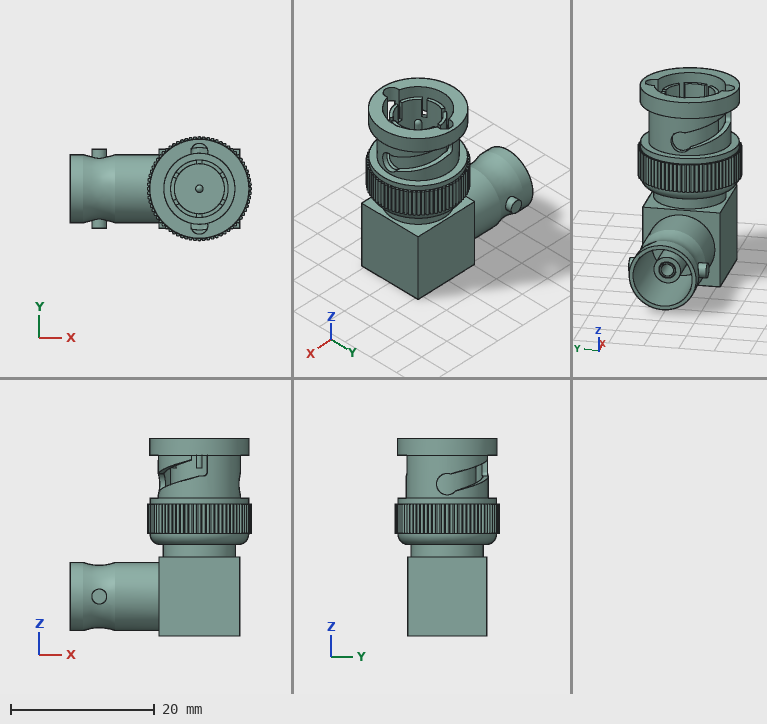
import math

import cadquery as cq

OVERLAP = 0.2

BLOCK_X = 11.25
BLOCK_Y = 11.0
BLOCK_Z = 11.0

NECK_LENGTH = 1.7
COLLAR_BELOW_KNURL = 1.57
KNURL_LENGTH = 4.06
COLLAR_ABOVE_KNURL = 0.83
FLANGE_THICKNESS = 2.35
NECK_BASE_Z = BLOCK_Z / 2
COLLAR_BASE_Z = NECK_BASE_Z + NECK_LENGTH
KNURL_BASE_Z = COLLAR_BASE_Z + COLLAR_BELOW_KNURL
KNURL_TOP_Z = KNURL_BASE_Z + KNURL_LENGTH
COLLAR_TOP_Z = KNURL_TOP_Z + COLLAR_ABOVE_KNURL
PLUG_TOP_Z = 21.98
FLANGE_BASE_Z = PLUG_TOP_Z - FLANGE_THICKNESS

NECK_R = 5.04
COLLAR_R = 6.87
COLLAR_FILLET = 1.5
BARREL_R = 5.72
FLANGE_R = 6.92
BORE_R = 4.94
BORE_FLOOR_Z = COLLAR_TOP_Z

KNURL_R = 7.24
KNURL_ROOT_R = 7.0
TOOTH_COUNT = 72
TOOTH_FILL = 0.72

LOCK_HOLE_R = 1.49
LOCK_HOLE_Z = 15.62
RAMP_HEIGHT = 2.55
RAMP_RISE = 2.41
RAMPS_PER_TURN = 4
NOTCH_R = 1.18
NOTCH_CENTRE_R = 5.13
NOTCH_BASE_Z = 16.75
NOTCH_FILLET = 0.55

SLEEVE_R = 4.0
SLEEVE_INNER_R = 3.48
SLEEVE_TOP_Z = 20.88
SLOT_INNER_R = (BORE_R + SLEEVE_R) / 2
SLEEVE_SLOT_COUNT = 6
SLEEVE_SLOT_WIDTH = 0.76
SLEEVE_SLOT_BASE_Z = 17.87
PIN_R = 0.52
PIN_SHOULDER_Z = 19.4

LIP_LENGTH = 1.82
GROOVE_LENGTH = 4.48
INSULATOR_RECESS = 3.1
JACK_FACE_X = -17.97
JACK_ROOT_X = -BLOCK_X / 2
GROOVE_START_X = JACK_FACE_X + LIP_LENGTH
GROOVE_END_X = GROOVE_START_X + GROOVE_LENGTH
GROOVE_MIDDLE_X = (GROOVE_START_X + GROOVE_END_X) / 2
INSULATOR_FACE_X = JACK_FACE_X + INSULATOR_RECESS

JACK_R = 4.76
JACK_BORE_R = 4.2
GROOVE_R = 4.35
STUD_R = 1.04
STUD_TIP_Y = BLOCK_Y / 2
INSULATOR_R = 1.9
INSULATOR_HOLE_R = 1.2
SOCKET_R = 1.1
SOCKET_HOLE_R = 0.88


def cylinder_z(radius, z_low, z_high):
    return cq.Workplane("XY").workplane(offset=z_low).circle(radius).extrude(z_high - z_low)


def cylinder_x(radius, x_low, x_high):
    return cq.Workplane("YZ").workplane(offset=x_low).circle(radius).extrude(x_high - x_low)


def polar(radius, angle):
    return (radius * math.cos(angle), radius * math.sin(angle))


def make_block():
    return cq.Workplane("XY").box(BLOCK_X, BLOCK_Y, BLOCK_Z)


def make_knurl():
    pitch = 2 * math.pi / TOOTH_COUNT
    half_tooth = pitch * TOOTH_FILL / 2
    first_tooth = math.pi / 2
    outline = cq.Workplane("XY").workplane(offset=KNURL_BASE_Z)
    outline = outline.moveTo(*polar(KNURL_ROOT_R, first_tooth - half_tooth))
    for tooth in range(TOOTH_COUNT):
        middle = first_tooth + tooth * pitch
        crest = polar(KNURL_R, middle)
        tooth_end = polar(KNURL_ROOT_R, middle + half_tooth)
        outline = outline.threePointArc(crest, tooth_end)
        if tooth < TOOTH_COUNT - 1:
            outline = outline.lineTo(*polar(KNURL_ROOT_R, middle + pitch - half_tooth))
    return outline.close().extrude(KNURL_LENGTH)


def make_plug_body():
    neck = cylinder_z(NECK_R, NECK_BASE_Z - OVERLAP, COLLAR_BASE_Z + OVERLAP)
    collar = cylinder_z(COLLAR_R, COLLAR_BASE_Z, COLLAR_TOP_Z).faces("<Z").edges().fillet(COLLAR_FILLET)
    barrel = cylinder_z(BARREL_R, COLLAR_TOP_Z - OVERLAP, PLUG_TOP_Z)
    flange = cylinder_z(FLANGE_R, FLANGE_BASE_Z, PLUG_TOP_Z)
    bore = cylinder_z(BORE_R, BORE_FLOOR_Z, PLUG_TOP_Z)
    return neck.union(collar).union(make_knurl()).union(barrel).union(flange).cut(bore)


def make_bayonet_cutters():
    """Cutters for one slot: lock hole on -X, ramp rising a quarter turn, entry notch on -Y."""
    slot_outer_r = BARREL_R + OVERLAP
    slot_depth = slot_outer_r - SLOT_INNER_R
    slot_middle_r = (slot_outer_r + SLOT_INNER_R) / 2

    lock_hole = cylinder_x(LOCK_HOLE_R, -slot_outer_r, -SLOT_INNER_R).translate((0, 0, LOCK_HOLE_Z))

    path = cq.Wire.makeHelix(pitch=RAMPS_PER_TURN * RAMP_RISE, height=RAMP_RISE, radius=slot_middle_r)
    ramp = (
        cq.Workplane("XZ")
        .center(slot_middle_r, 0)
        .rect(slot_depth, RAMP_HEIGHT)
        .sweep(cq.Workplane(path), isFrenet=True)
        .rotate((0, 0, 0), (0, 0, 1), 180)
        .translate((0, 0, LOCK_HOLE_Z))
    )

    notch = (
        cylinder_z(NOTCH_R, NOTCH_BASE_Z, PLUG_TOP_Z)
        .faces("<Z").edges().fillet(NOTCH_FILLET)
        .translate((0, -NOTCH_CENTRE_R, 0))
    )
    return lock_hole, ramp, notch


def cut_bayonet_slots(plug):
    for turn in (0, 180):
        for cutter in make_bayonet_cutters():
            plug = plug.cut(cutter.rotate((0, 0, 0), (0, 0, 1), turn))
    return plug


def make_plug_sleeve():
    sleeve = cylinder_z(SLEEVE_R, BORE_FLOOR_Z - OVERLAP, SLEEVE_TOP_Z)
    sleeve = sleeve.cut(cylinder_z(SLEEVE_INNER_R, BORE_FLOOR_Z - OVERLAP, SLEEVE_TOP_Z))
    slot_height = SLEEVE_TOP_Z - SLEEVE_SLOT_BASE_Z
    slot = (
        cq.Workplane("XY")
        .workplane(offset=SLEEVE_SLOT_BASE_Z)
        .rect(SLEEVE_SLOT_WIDTH, 2 * (SLEEVE_R + OVERLAP))
        .extrude(slot_height)
    )
    for index in range(SLEEVE_SLOT_COUNT // 2):
        sleeve = sleeve.cut(slot.rotate((0, 0, 0), (0, 0, 1), index * 360 / SLEEVE_SLOT_COUNT))
    return sleeve


def make_plug_pin():
    shank = cylinder_z(PIN_R, BORE_FLOOR_Z - OVERLAP, PIN_SHOULDER_Z)
    tip = cq.Workplane("XY").sphere(PIN_R).translate((0, 0, PIN_SHOULDER_Z))
    return shank.union(tip)


def make_jack_body():
    profile = (
        cq.Workplane("XZ")
        .moveTo(JACK_FACE_X, 0)
        .lineTo(JACK_FACE_X, JACK_R)
        .lineTo(GROOVE_START_X, JACK_R)
        .threePointArc((GROOVE_MIDDLE_X, GROOVE_R), (GROOVE_END_X, JACK_R))
        .lineTo(JACK_ROOT_X + OVERLAP, JACK_R)
        .lineTo(JACK_ROOT_X + OVERLAP, 0)
        .close()
    )
    shell = profile.revolve(360, (0, 0, 0), (1, 0, 0))
    studs = (
        cq.Workplane("XZ")
        .workplane(offset=-STUD_TIP_Y)
        .center(GROOVE_MIDDLE_X, 0)
        .circle(STUD_R)
        .extrude(2 * STUD_TIP_Y)
    )
    bore = cylinder_x(JACK_BORE_R, JACK_FACE_X, JACK_ROOT_X)
    return shell.union(studs).cut(bore)


def make_jack_contact():
    insulator = cylinder_x(INSULATOR_R, INSULATOR_FACE_X, JACK_ROOT_X + OVERLAP)
    insulator = insulator.cut(cylinder_x(INSULATOR_HOLE_R, INSULATOR_FACE_X, JACK_ROOT_X))
    socket = cylinder_x(SOCKET_R, INSULATOR_FACE_X, JACK_ROOT_X + OVERLAP)
    socket = socket.cut(cylinder_x(SOCKET_HOLE_R, INSULATOR_FACE_X, JACK_ROOT_X))
    return insulator.union(socket)


plug = cut_bayonet_slots(make_plug_body())
plug = plug.union(make_plug_sleeve()).union(make_plug_pin())
jack = make_jack_body().union(make_jack_contact())
result = make_block().union(plug).union(jack)